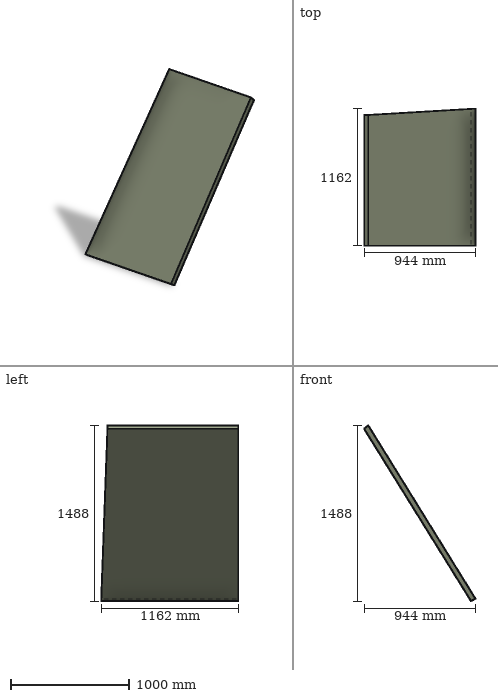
import cadquery as cq

length_x = 944.0
height_z = 1488.0
width_low = 1162.0
width_high = 1109.0

top_run = 35.0
top_rise = 30.0
bottom_run = 39.0
bottom_rise = 21.0

panel = (
    cq.Workplane("XZ")
    .moveTo(0, height_z - top_rise)
    .lineTo(top_run, height_z)
    .lineTo(length_x, bottom_rise)
    .lineTo(length_x - bottom_run, 0)
    .close()
    .extrude(-width_low)
)

outline = (
    cq.Workplane("XY")
    .polyline([
        (0, 0),
        (length_x, 0),
        (length_x, width_low),
        (top_run, width_high),
        (0, width_high),
    ])
    .close()
    .extrude(height_z)
)

result = panel.intersect(outline)